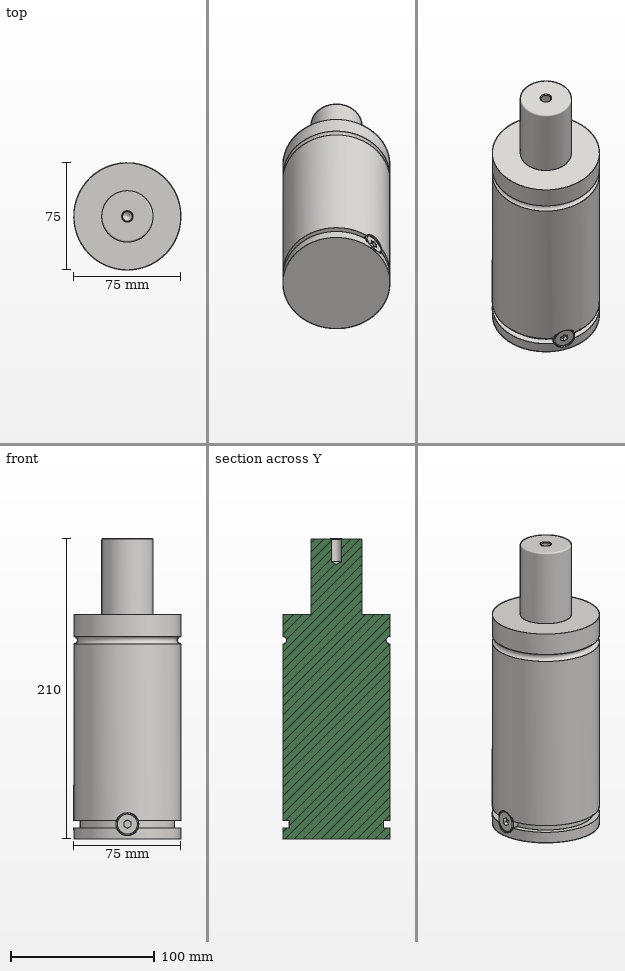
import cadquery as cq
import math

body_diameter = 75.0
body_radius = body_diameter / 2
body_height = 157.0

total_height = 210.0
rod_diameter = 36.0
rod_edge_size = 1.0

hole_diameter = 6.7
hole_mouth_diameter = 8.0
hole_depth = 16.0
drill_point_angle = 118.0

upper_groove_radius = 2.5
upper_groove_z = 139.0

lower_groove_bottom = 8.0
lower_groove_width = 5.0
lower_groove_depth = 4.5

plug_z = 10.5
plug_diameter = 16.0
plug_face_diameter = 14.0
plug_face_distance = 36.8
plug_length = 8.5
plug_rim_depth = 0.6
socket_across_flats = 5.0
socket_depth = 3.2


def make_body():
    """Revolve the body outline with its two ring grooves."""
    lower_groove_top = lower_groove_bottom + lower_groove_width
    floor_radius = body_radius - lower_groove_depth
    return (
        cq.Workplane("XZ")
        .lineTo(body_radius, 0)
        .lineTo(body_radius, lower_groove_bottom)
        .lineTo(floor_radius, lower_groove_bottom)
        .lineTo(floor_radius, lower_groove_top)
        .lineTo(body_radius, lower_groove_top)
        .lineTo(body_radius, upper_groove_z - upper_groove_radius)
        .threePointArc(
            (body_radius - upper_groove_radius, upper_groove_z),
            (body_radius, upper_groove_z + upper_groove_radius),
        )
        .lineTo(body_radius, body_height)
        .lineTo(0, body_height)
        .close()
        .revolve(360, (0, 0), (0, 1))
    )


def make_rod():
    """Piston rod with a rounded end."""
    return (
        cq.Workplane("XY", origin=(0, 0, body_height))
        .circle(rod_diameter / 2)
        .extrude(total_height - body_height)
        .faces(">Z")
        .fillet(rod_edge_size)
    )


def make_rod_hole():
    """Blind hole with a countersunk mouth and a conical drill point."""
    hole_radius = hole_diameter / 2
    mouth_radius = hole_mouth_diameter / 2
    mouth_depth = mouth_radius - hole_radius
    point_length = hole_radius / math.tan(math.radians(drill_point_angle / 2))
    hole_bottom = total_height - hole_depth
    return (
        cq.Workplane("XZ")
        .moveTo(0, total_height)
        .lineTo(mouth_radius, total_height)
        .lineTo(hole_radius, total_height - mouth_depth)
        .lineTo(hole_radius, hole_bottom)
        .lineTo(0, hole_bottom - point_length)
        .close()
        .revolve(360, (0, 0), (0, 1))
    )


def plug_plane(distance):
    """Plane facing -Y, on the plug axis, at a distance from the body axis."""
    return cq.Workplane("XZ", origin=(0, -distance, plug_z))


def make_plug_bore():
    """Clearance from the inner end of the plug out through the body wall."""
    return (
        plug_plane(plug_face_distance - plug_length)
        .circle(plug_diameter / 2)
        .extrude(body_radius)
    )


def make_plug():
    """Plug with a tapered rim and a hexagon socket, corners pointing up and down."""
    socket_corner_diameter = socket_across_flats / math.cos(math.pi / 6)
    socket = (
        plug_plane(plug_face_distance)
        .transformed(rotate=(0, 0, 90))
        .polygon(6, socket_corner_diameter)
        .extrude(-socket_depth)
    )
    shank_length = plug_length - plug_rim_depth
    shank = (
        plug_plane(plug_face_distance - plug_length)
        .circle(plug_diameter / 2)
        .extrude(shank_length)
    )
    rim_taper = math.degrees(math.atan2((plug_diameter - plug_face_diameter) / 2, plug_rim_depth))
    rim = (
        plug_plane(plug_face_distance - plug_rim_depth)
        .circle(plug_diameter / 2)
        .extrude(plug_rim_depth, taper=rim_taper)
    )
    return shank.union(rim).cut(socket)


body = make_body().cut(make_plug_bore()).union(make_plug())
result = body.union(make_rod()).cut(make_rod_hole())